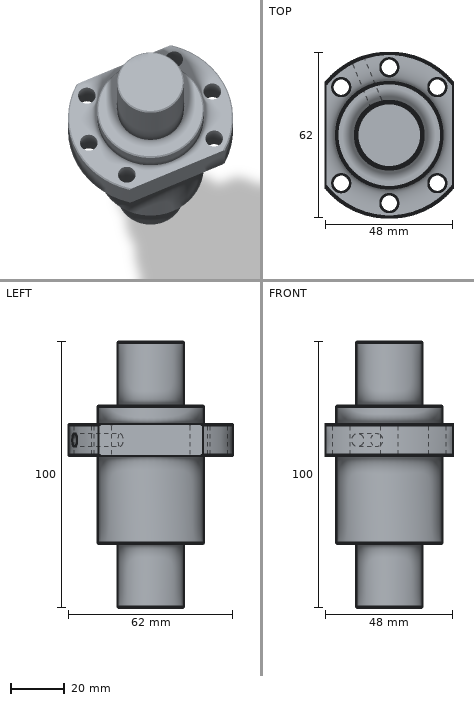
import cadquery as cq
import math

shaft_length = 100.0
shaft_diameter = 25.0
edge_chamfer = 0.5

nut_diameter = 40.0
nut_length = 52.0
nut_bottom = (shaft_length - nut_length) / 2
nut_top = nut_bottom + nut_length

clearance_diameter = 25.8
clearance_depth = 0.5

flange_diameter = 62.0
flange_width = 48.0
flange_thickness = 12.0
collar_height = 7.0
flange_top = nut_top - collar_height
flange_bottom = flange_top - flange_thickness

bolt_hole_diameter = 6.6
bolt_circle_diameter = 51.0
bolt_angles = (45, 90, 135, 225, 270, 315)

oil_hole_diameter = 4.9
oil_hole_angle = math.radians((90 + 135) / 2)


def chamfered_cylinder(diameter, bottom, length):
    """Upright cylinder with both end edges chamfered."""
    cylinder = cq.Workplane("XY").workplane(offset=bottom).circle(diameter / 2).extrude(length)
    return cylinder.faces("<Z or >Z").edges().chamfer(edge_chamfer)


def clearance_ring(bottom):
    """Ring-shaped space between the shaft and the nut."""
    ring = cq.Workplane("XY").workplane(offset=bottom)
    return ring.circle(clearance_diameter / 2).circle(shaft_diameter / 2).extrude(clearance_depth)


def make_flange():
    """Chamfered disc trimmed to two flats and drilled for the bolts."""
    disc = chamfered_cylinder(flange_diameter, flange_bottom, flange_thickness)
    flats = (
        cq.Workplane("XY")
        .workplane(offset=flange_bottom)
        .rect(flange_width, flange_diameter)
        .extrude(flange_thickness)
    )
    bolt_circle_radius = bolt_circle_diameter / 2
    bolt_points = [
        (
            bolt_circle_radius * math.cos(math.radians(angle)),
            bolt_circle_radius * math.sin(math.radians(angle)),
        )
        for angle in bolt_angles
    ]
    bolt_holes = (
        cq.Workplane("XY")
        .workplane(offset=flange_bottom)
        .pushPoints(bolt_points)
        .circle(bolt_hole_diameter / 2)
        .extrude(flange_thickness)
    )
    return disc.intersect(flats).cut(bolt_holes)


def make_oil_hole():
    """Radial drilling from the flange rim inward to the shaft."""
    outward = cq.Vector(math.cos(oil_hole_angle), math.sin(oil_hole_angle), 0)
    mid_height = (flange_bottom + flange_top) / 2
    axis_point = cq.Vector(0, 0, mid_height)
    drill = cq.Solid.makeCylinder(oil_hole_diameter / 2, flange_diameter / 2, axis_point, outward)
    return cq.Workplane(obj=drill)


shaft = chamfered_cylinder(shaft_diameter, 0, shaft_length)
nut = chamfered_cylinder(nut_diameter, nut_bottom, nut_length).union(make_flange())
nut = nut.cut(make_oil_hole())
nut = nut.cut(clearance_ring(nut_bottom)).cut(clearance_ring(nut_top - clearance_depth))

result = nut.union(shaft)